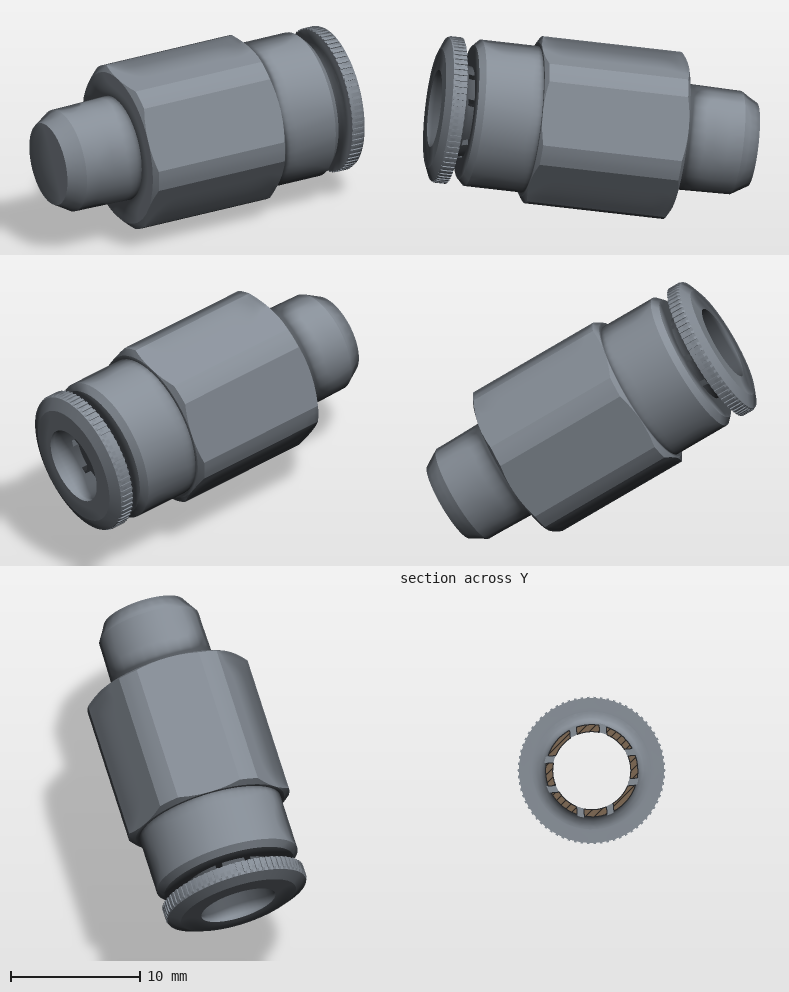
import cadquery as cq
import math

length = 25.0

plug_tip_radius = 3.25
plug_front_radius = 4.02
plug_root_radius = 4.12
plug_tip_length = 1.3

hex_across_flats = 12.0
hex_corner_radius = 6.5
hex_start = 6.0
hex_length = 11.5
hex_end = hex_start + hex_length
hex_chamfer_angle = 30.0

sleeve_radius = 5.7
sleeve_length = 5.0
sleeve_chamfer = 0.48
sleeve_end = hex_end + sleeve_length

neck_radius = 3.55
neck_flare = 1.0
bore_radius = 3.0
rim_radius = sleeve_radius
rim_face_radius = 4.65
rim_cone_radius = 5.6
rim_cone_length = 0.42
rim_bevel_length = 0.2
rim_start = sleeve_end + neck_flare

groove_count = 70
groove_width = 0.3
groove_depth = rim_radius - rim_cone_radius

slot_width = 0.5
slot_height = 0.5
slot_offset = 1.15
slot_pattern_angle = -5.2


def turn_about_y(solid, angle):
    """Turn a solid about Y, from +Z towards +X, by an angle in degrees."""
    return solid.rotate((0, 0, 0), (0, 1, 0), angle)


def revolve_about_y(profile):
    """Close a profile, given as (radius, y), and turn it into a full solid of revolution."""
    return profile.close().revolve(360, (0, 0, 0), (0, 1, 0))


def make_plug():
    return revolve_about_y(
        cq.Workplane("XY")
        .moveTo(0, 0)
        .lineTo(plug_tip_radius, 0)
        .lineTo(plug_front_radius, plug_tip_length)
        .lineTo(plug_root_radius, hex_start)
        .lineTo(0, hex_start)
    )


def make_hex_body():
    flat_radius = hex_across_flats / 2
    across_corners = hex_across_flats / math.cos(math.pi / 6)
    prism = (
        cq.Workplane("XZ", origin=(0, hex_start, 0))
        .polygon(6, across_corners)
        .extrude(-hex_length)
    )
    chamfer_length = (hex_corner_radius - flat_radius) * math.tan(math.radians(hex_chamfer_angle))
    envelope = revolve_about_y(
        cq.Workplane("XY")
        .moveTo(0, hex_start)
        .lineTo(flat_radius, hex_start)
        .lineTo(hex_corner_radius, hex_start + chamfer_length)
        .lineTo(hex_corner_radius, hex_end - chamfer_length)
        .lineTo(flat_radius, hex_end)
        .lineTo(0, hex_end)
    )
    return prism.intersect(envelope)


def make_sleeve():
    return revolve_about_y(
        cq.Workplane("XY")
        .moveTo(0, hex_end)
        .lineTo(sleeve_radius, hex_end)
        .lineTo(sleeve_radius, sleeve_end - sleeve_chamfer)
        .lineTo(sleeve_radius - sleeve_chamfer, sleeve_end)
        .lineTo(0, sleeve_end)
    )


def make_collar_blank():
    flare_radius = neck_radius + neck_flare
    flare_half_offset = neck_flare * math.sin(math.radians(45))
    flare_middle = (flare_radius - flare_half_offset, sleeve_end + flare_half_offset)
    return revolve_about_y(
        cq.Workplane("XY")
        .moveTo(bore_radius, sleeve_end)
        .lineTo(neck_radius, sleeve_end)
        .threePointArc(flare_middle, (flare_radius, rim_start))
        .lineTo(rim_radius, rim_start)
        .lineTo(rim_radius, length - rim_cone_length - rim_bevel_length)
        .lineTo(rim_cone_radius, length - rim_cone_length)
        .lineTo(rim_face_radius, length)
        .lineTo(bore_radius, length)
    )


def make_knurl_grooves():
    """Grooves along the full height of the rim, with a rib centred on the -X side."""
    pitch_angle = 360 / groove_count
    groove = cq.Workplane("XY").box(
        groove_width, length - rim_start, 2 * groove_depth, centered=(True, False, True)
    ).translate((0, rim_start, rim_radius))
    first_groove = turn_about_y(groove, -90 + pitch_angle / 2)
    grooves = [turn_about_y(first_groove, index * pitch_angle).val() for index in range(groove_count)]
    return cq.Workplane(cq.Compound.makeCompound(grooves))


def make_neck_slots():
    """Two pairs of parallel cuts across the neck, standing on the end face of the sleeve."""
    cut_length = 2 * rim_radius
    cut = cq.Workplane("XY").box(slot_width, slot_height, cut_length, centered=(True, False, True))
    pair = cut.translate((-slot_offset, sleeve_end, 0)).union(cut.translate((slot_offset, sleeve_end, 0)))
    crossing_pair = turn_about_y(pair, 90)
    return turn_about_y(pair.union(crossing_pair), slot_pattern_angle)


collar = make_collar_blank().cut(make_knurl_grooves()).cut(make_neck_slots())
result = make_plug().union(make_hex_body()).union(make_sleeve()).union(collar)